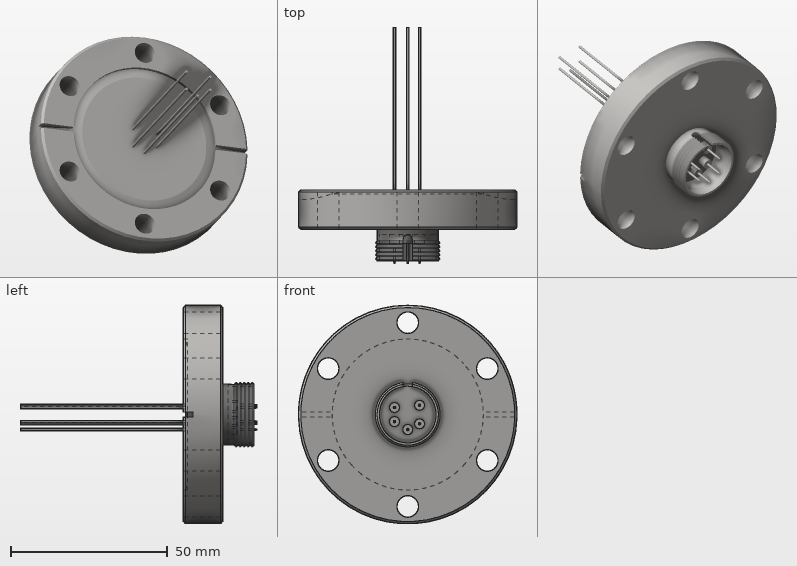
import cadquery as cq
import math

flange_radius = 34.9
flange_thickness = 12.7
flange_chamfer = 0.75
bolt_circle_radius = 29.35
bolt_hole_diameter = 6.8
bolt_count = 6

recess_radius = 24.15
recess_depth = 1.35
seal_centre_radius = 21.0
seal_centre_depth = 0.7

leak_slot_width = 1.6
leak_slot_depth = 3.2
leak_cutter_radius = 31.7
leak_cutter_offset = flange_radius

collar_length = 10.0
collar_diameter = 19.55
collar_radius = collar_diameter / 2
collar_bore_radius = 9.05
thread_crest_radius = 10.3
thread_pitch = 1.3
thread_turns = 5
keyway_width = 2.95
keyway_end_gap = 1.7
socket_floor_height = 1.65

pin_circle_diameter = 9.6
pin_circle_radius = pin_circle_diameter / 2
pin_angles = (38, 152, 208, 270, 322)
wire_diameter = 0.8
pin_diameter = 0.75
pin_tip_diameter = 0.4
pin_taper_start = 9.35
pin_front_reach = collar_length + 0.8
wire_reach = 51.9
sleeve_diameter = 3.2
sleeve_length = 4.45


def revolve_about_y(profile):
    """Turn a closed (radius, Y) profile about the Y axis."""
    return profile.close().revolve(360, (0, 0, 0), (0, 1, 0))


def cylinder_along_y(radius, y_start, y_end, x=0, z=0):
    axis = cq.Vector(0, 1, 0)
    return cq.Workplane(cq.Solid.makeCylinder(radius, y_end - y_start, cq.Vector(x, y_start, z), axis))


def make_flange():
    disc = cylinder_along_y(flange_radius, 0, flange_thickness).edges().chamfer(flange_chamfer)
    for index in range(bolt_count):
        angle = math.radians(90 + index * 360 / bolt_count)
        x = bolt_circle_radius * math.cos(angle)
        z = bolt_circle_radius * math.sin(angle)
        disc = disc.cut(cylinder_along_y(bolt_hole_diameter / 2, 0, flange_thickness, x, z))
    return disc.cut(make_seal_recess()).cut(make_leak_slots())


def make_seal_recess():
    deepest_y = flange_thickness - recess_depth
    centre_y = flange_thickness - seal_centre_depth
    return revolve_about_y(
        cq.Workplane("XY")
        .moveTo(0, flange_thickness)
        .lineTo(0, centre_y)
        .lineTo(seal_centre_radius, centre_y)
        .lineTo(recess_radius, deepest_y)
        .lineTo(recess_radius, flange_thickness)
    )


def make_leak_slots():
    """Opposed slots on the X axis, from the rim into the sealing recess only."""
    cutter_y = flange_thickness - leak_slot_depth + leak_cutter_radius
    cutters = (
        cq.Workplane("XY")
        .pushPoints([(-leak_cutter_offset, cutter_y), (leak_cutter_offset, cutter_y)])
        .circle(leak_cutter_radius)
        .extrude(leak_slot_width / 2, both=True)
    )
    return cutters.cut(cylinder_along_y(recess_radius, 0, flange_thickness))


def make_collar():
    """Open collar with ring-shaped V threads at its free end, a keyway at the top and a raised floor."""
    thread_start = collar_length - thread_turns * thread_pitch
    profile = (
        cq.Workplane("XY")
        .moveTo(collar_bore_radius, 0)
        .lineTo(collar_radius, 0)
        .lineTo(collar_radius, -thread_start)
    )
    for turn in range(thread_turns):
        root_y = -thread_start - turn * thread_pitch
        profile = profile.lineTo(thread_crest_radius, root_y - thread_pitch / 2)
        profile = profile.lineTo(collar_radius, root_y - thread_pitch)
    collar = revolve_about_y(profile.lineTo(collar_bore_radius, -collar_length))
    socket_floor = cylinder_along_y(collar_bore_radius, -socket_floor_height, 0)
    return collar.cut(make_keyway()).union(socket_floor)


def make_keyway():
    """Slot through the top wall: open at the free end, its round end just clear of the socket floor."""
    half_width = keyway_width / 2
    arc_start = -keyway_end_gap - half_width
    return (
        cq.Workplane("XY")
        .moveTo(-half_width, -collar_length)
        .lineTo(-half_width, arc_start)
        .threePointArc((0, -keyway_end_gap), (half_width, arc_start))
        .lineTo(half_width, -collar_length)
        .close()
        .extrude(thread_crest_radius)
    )


def make_pin(angle_degrees):
    """Sleeve and rod: a thin pin with a tapered tip in front, a thicker wire behind."""
    x = pin_circle_radius * math.cos(math.radians(angle_degrees))
    z = pin_circle_radius * math.sin(math.radians(angle_degrees))
    rod = revolve_about_y(
        cq.Workplane("XY")
        .moveTo(0, -pin_front_reach)
        .lineTo(pin_tip_diameter / 2, -pin_front_reach)
        .lineTo(pin_diameter / 2, -pin_taper_start)
        .lineTo(pin_diameter / 2, 0)
        .lineTo(wire_diameter / 2, 0)
        .lineTo(wire_diameter / 2, flange_thickness + wire_reach)
        .lineTo(0, flange_thickness + wire_reach)
    ).translate((x, 0, z))
    return rod.union(cylinder_along_y(sleeve_diameter / 2, -sleeve_length, 0, x, z))


result = make_flange().union(make_collar())
for pin_angle in pin_angles:
    result = result.union(make_pin(pin_angle))